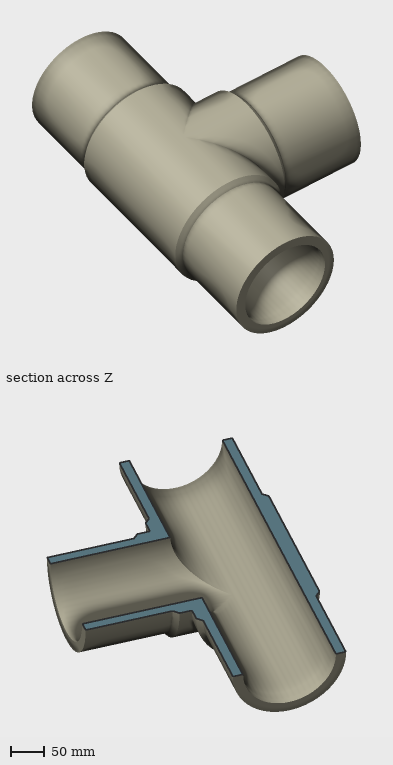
import cadquery as cq

wall = 16.4
pipe_diameter = 180.0
body_diameter = pipe_diameter + wall
bore_diameter = pipe_diameter - 2 * wall
arm_length = 264.0
spigot_length = 138.0
chamfer = (body_diameter - pipe_diameter) / 2

body_reach = arm_length - spigot_length


def cylinder(plane, diameter, length, offset=0.0):
    """Solid cylinder along the plane normal, starting at the given offset."""
    return cq.Workplane(plane).workplane(offset=offset).circle(diameter / 2).extrude(length)


def along_x(diameter, half_length):
    """Cylinder along X, centred on the tee centre."""
    return cylinder("YZ", diameter, 2 * half_length, -half_length)


def along_branch(diameter, length):
    """Cylinder from the tee centre toward +Y."""
    return cylinder("XZ", diameter, -length)


run_body = along_x(body_diameter, body_reach).faces("<X or >X").edges().chamfer(chamfer)
branch_body = along_branch(body_diameter, body_reach).faces(">Y").edges().chamfer(chamfer)
body = run_body.union(branch_body)

outside = (
    body
    .union(along_x(pipe_diameter, arm_length))
    .union(along_branch(pipe_diameter, arm_length))
)

bores = along_x(bore_diameter, arm_length).union(along_branch(bore_diameter, arm_length))

result = outside.cut(bores)